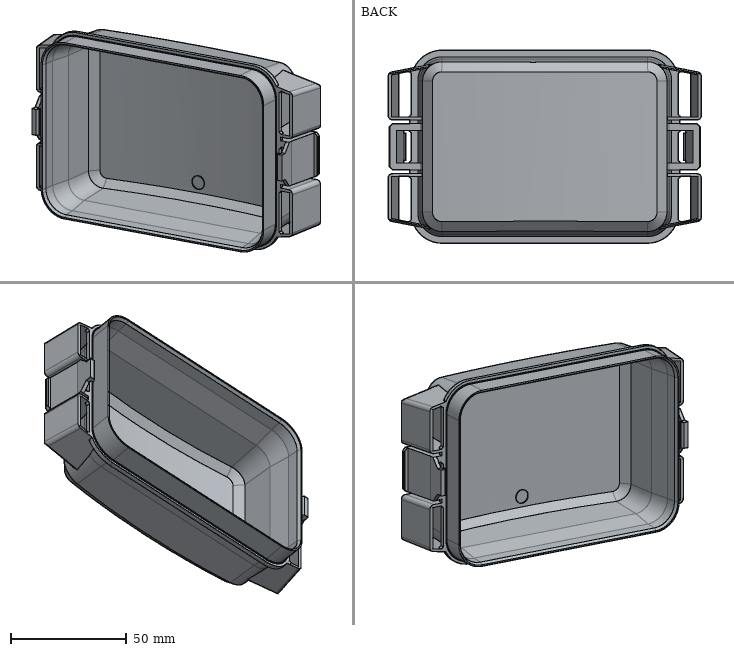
import cadquery as cq
import math


TOTAL_LENGTH = 135.69
TOTAL_DEPTH = 39.87
TOTAL_WIDTH = 83.7

FLANGE_RADIUS = 13.5
CORNER_X = 44.4
CORNER_Z = TOTAL_WIDTH / 2 - FLANGE_RADIUS
RIM_RADIUS = 11.8
LEDGE_RADIUS = 12.2
LEDGE_Y = 9.8
FLANGE_Y = 10.1
FLANGE_TOP_Y = 12.1
BASE_RADIUS = 10.9
DRAFT_BREAK_Y = 18.0
DRAFT_BREAK_RADIUS = 9.6
CROWN_RADIUS = 7.9
ROOF_ARC_RADIUS = 400.0
ROOF_BEVEL = 4.0

MOUTH_RADIUS = 11.1
LEAD_IN_Y = 1.5
LEAD_IN_RADIUS = 10.3
MOUTH_BREAK_Y = 6.6
MOUTH_BREAK_RADIUS = 9.9
CAVITY_BREAK_Y = 16.6
CAVITY_BREAK_RADIUS = 8.0
CAVITY_CROWN_RADIUS = 6.4
ROOF_THICKNESS = 1.5
CAVITY_BEVEL = 3.3
GATE_MARK_RADIUS = 3.05
GATE_MARK_Z = -26.9
GATE_MARK_DEPTH = 0.4

FRAME_Y = FLANGE_Y
FRAME_TOP_Y = 28.5
FRAME_FOOT_X = 64.7
FRAME_TOP_X = TOTAL_LENGTH / 2
FRAME_ROOT_X = 47.0
SLOT_CHAMFER = 1.0
ROOT_FILLET = 0.6

SIDE_WALL = 1.5
CROSS_WALL = 1.3
HANDLE_INNER_Z = 11.6
HANDLE_OUTER_Z = 32.7
HANDLE_SLOPE = 0.195
HANDLE_ROUND = 2.0
HANDLE_BACK_CHAMFER = 0.7

LATCH_HALF_WIDTH = 10.0
TONGUE_X = 63.1
LATCH_THICKNESS = 1.8
LIP_X = 67.4
LIP_Y = 26.8
LIP_CHAMFER = 1.5
LIP_EDGE_CHAMFER = 0.4
TONGUE_HALF_WIDTH = 5.9
TONGUE_SHOULDER_Y = 6.5
TONGUE_TIP_Y = 3.7
HOOK_REACH = 1.2
HOOK_TIP_Y = 4.9
HOOK_BARB_Y = 5.7
HOOK_NECK_Y = 5.3
RIB_INNER_Z = 7.0
BRIDGE_X = 58.5
BRIDGE_OUTER_Z = HANDLE_INNER_Z + CROSS_WALL

SELECT_MARGIN = 0.1

FRAME_LEAN = (FRAME_TOP_X - FRAME_FOOT_X) / (FRAME_TOP_Y - FRAME_Y)
LATCH_FOOT_X = TONGUE_X - FRAME_LEAN * (FLANGE_TOP_Y - FRAME_Y)
SLOT_ROOT_X = CORNER_X + FLANGE_RADIUS


def rounded_outline(y, radius):
    """Rounded rectangle at depth y, its corners centred on (CORNER_X, CORNER_Z)."""
    outline = cq.Workplane("XZ", origin=(0, y, 0)).rect(2 * (CORNER_X + radius), 2 * (CORNER_Z + radius))
    wire = outline.val()
    return wire.fillet2D(radius, wire.Vertices())


def stack(*sections):
    """Solid running straight from one (y, corner radius) section to the next."""
    wires = [rounded_outline(y, radius) for y, radius in sections]
    return cq.Workplane(obj=cq.Solid.makeLoft(wires, True))


def under_roof(crown_y):
    """Everything on the open side of a roof arched along X, its crown at crown_y."""
    half_length = CORNER_X + FLANGE_RADIUS
    end_y = crown_y - ROOF_ARC_RADIUS + math.sqrt(ROOF_ARC_RADIUS**2 - half_length**2)
    return (
        cq.Workplane("XY")
        .moveTo(-half_length, 0)
        .lineTo(-half_length, end_y)
        .threePointArc((0, crown_y), (half_length, end_y))
        .lineTo(half_length, 0)
        .close()
        .extrude(TOTAL_WIDTH / 2, both=True)
    )


def make_tub():
    """Drafted outer body with a bevelled roof, the flange and the rim below it."""
    body = stack(
        (FLANGE_Y, BASE_RADIUS), (DRAFT_BREAK_Y, DRAFT_BREAK_RADIUS), (TOTAL_DEPTH, CROWN_RADIUS)
    )
    body = body.intersect(under_roof(TOTAL_DEPTH)).faces(">Y").chamfer(ROOF_BEVEL)
    flange = stack((FLANGE_Y, FLANGE_RADIUS), (FLANGE_TOP_Y, FLANGE_RADIUS))
    ledge = stack((LEDGE_Y, LEDGE_RADIUS), (FLANGE_Y, LEDGE_RADIUS))
    rim = stack((0, RIM_RADIUS), (FLANGE_Y, RIM_RADIUS))
    return body.union(flange).union(ledge).union(rim)


def make_cavity():
    """Inside of the tub, with a shallow round gate mark sunk into the roof."""
    inner_crown_y = TOTAL_DEPTH - ROOF_THICKNESS
    cavity = stack(
        (0, MOUTH_RADIUS),
        (LEAD_IN_Y, LEAD_IN_RADIUS),
        (MOUTH_BREAK_Y, MOUTH_BREAK_RADIUS),
        (CAVITY_BREAK_Y, CAVITY_BREAK_RADIUS),
        (TOTAL_DEPTH, CAVITY_CROWN_RADIUS),
    )
    cavity = cavity.intersect(under_roof(inner_crown_y)).faces(">Y").chamfer(CAVITY_BEVEL)
    gate_mark = (
        cq.Workplane("XZ", origin=(0, inner_crown_y + GATE_MARK_DEPTH, GATE_MARK_Z))
        .circle(GATE_MARK_RADIUS)
        .extrude(CAVITY_BEVEL)
    )
    return cavity.union(gate_mark)


def box_between(x_range, y_range, z_range):
    """Axis-aligned box between the given limits."""
    sizes = [high - low for low, high in (x_range, y_range, z_range)]
    return cq.Workplane("XY").box(*sizes, centered=False).translate((x_range[0], y_range[0], z_range[0]))


def leaning_prism(foot_x, z_half):
    """Frame volume from the tub out to a leaning face whose foot is at foot_x."""
    top_x = foot_x + FRAME_LEAN * (FRAME_TOP_Y - FRAME_Y)
    profile = [
        (FRAME_ROOT_X, FRAME_Y), (foot_x, FRAME_Y), (top_x, FRAME_TOP_Y), (FRAME_ROOT_X, FRAME_TOP_Y)
    ]
    return cq.Workplane("XY").polyline(profile).close().extrude(z_half, both=True)


def spare_flange_web(opening):
    """Keep an opening clear of the flange and chamfer its corners beside it."""
    web = box_between(
        (FRAME_ROOT_X, SLOT_ROOT_X), (FRAME_Y, FLANGE_TOP_Y), (-TOTAL_WIDTH / 2, TOTAL_WIDTH / 2)
    )
    beside_web = cq.selectors.BoxSelector(
        (SLOT_ROOT_X - SELECT_MARGIN, FRAME_Y, -TOTAL_WIDTH / 2),
        (SLOT_ROOT_X + SELECT_MARGIN, FLANGE_TOP_Y, TOTAL_WIDTH / 2),
    )
    return opening.cut(web).edges("|Y").edges(beside_web).chamfer(SLOT_CHAMFER)


def handle_section(inner_z, outer_z):
    """Bar across the frame, between inner_z and a side sloping up towards the tub."""
    root_z = outer_z + HANDLE_SLOPE * (FRAME_FOOT_X - FRAME_ROOT_X)
    tip_z = outer_z - HANDLE_SLOPE * (FRAME_TOP_X - FRAME_FOOT_X)
    profile = [
        (FRAME_ROOT_X, inner_z), (FRAME_TOP_X, inner_z), (FRAME_TOP_X, tip_z), (FRAME_ROOT_X, root_z)
    ]
    return cq.Workplane("XZ").polyline(profile).close().extrude(-TOTAL_DEPTH)


def make_handle():
    """Strap loop open along Y: a leaning outer wall and two walls back to the tub."""
    outer = leaning_prism(FRAME_FOOT_X, TOTAL_WIDTH / 2).intersect(
        handle_section(HANDLE_INNER_Z, HANDLE_OUTER_Z)
    )
    outer = outer.faces(">Y").edges(">Z").chamfer(HANDLE_BACK_CHAMFER)
    corner = cq.selectors.BoxSelector(
        (FRAME_FOOT_X, FRAME_Y, 0), (FRAME_TOP_X, FRAME_TOP_Y - HANDLE_BACK_CHAMFER, TOTAL_WIDTH / 2)
    )
    outer = outer.edges("not(#Y or |X or |Z)").edges(corner).fillet(HANDLE_ROUND)
    opening = leaning_prism(FRAME_FOOT_X - SIDE_WALL, TOTAL_WIDTH / 2).intersect(
        handle_section(HANDLE_INNER_Z + CROSS_WALL, HANDLE_OUTER_Z - CROSS_WALL)
    )
    return outer.cut(spare_flange_web(opening))


def make_latch():
    """Leaning plate with a thumb lip on its back edge and a hooked tongue in front."""
    inner_foot_x = LATCH_FOOT_X - LATCH_THICKNESS
    plate = leaning_prism(LATCH_FOOT_X, LATCH_HALF_WIDTH).cut(
        leaning_prism(inner_foot_x, LATCH_HALF_WIDTH)
    )
    lip_root_x = inner_foot_x + FRAME_LEAN * (FRAME_TOP_Y - FRAME_Y)
    lip = box_between(
        (lip_root_x, LIP_X), (LIP_Y, FRAME_TOP_Y), (-LATCH_HALF_WIDTH, LATCH_HALF_WIDTH)
    )
    lip = lip.edges("|Y and >X").chamfer(LIP_CHAMFER)
    lip = lip.faces(">X").edges("|Z").chamfer(LIP_EDGE_CHAMFER)

    shoulder = [
        (LATCH_HALF_WIDTH, FLANGE_TOP_Y),
        (LATCH_HALF_WIDTH, FRAME_Y),
        (TONGUE_HALF_WIDTH, TONGUE_SHOULDER_Y),
        (TONGUE_HALF_WIDTH, TONGUE_TIP_Y),
    ]
    outline = [(-z, y) for z, y in shoulder] + shoulder[::-1]
    tongue = (
        cq.Workplane("ZY", origin=(TONGUE_X, 0, 0)).polyline(outline).close().extrude(LATCH_THICKNESS)
    )
    neck_x = TONGUE_X - LATCH_THICKNESS
    barb_x = neck_x - HOOK_REACH
    hook = (
        cq.Workplane("XY")
        .moveTo(neck_x, TONGUE_TIP_Y)
        .lineTo(neck_x - HOOK_REACH / 3, TONGUE_TIP_Y)
        .lineTo(barb_x, HOOK_TIP_Y)
        .lineTo(barb_x, HOOK_BARB_Y)
        .lineTo(neck_x, HOOK_NECK_Y)
        .close()
        .extrude(TONGUE_HALF_WIDTH, both=True)
    )
    return plate.union(lip).union(tongue).union(hook)


def make_latch_supports():
    """Ribs tying both edges of the latch to the tub, with a short bridge to the handles."""
    core = leaning_prism(LATCH_FOOT_X - LATCH_THICKNESS / 2, LATCH_HALF_WIDTH)
    window = leaning_prism(TOTAL_LENGTH, RIB_INNER_Z)
    supports = core.cut(spare_flange_web(window))
    for side in (-1, 1):
        z_range = sorted((side * RIB_INNER_Z, side * BRIDGE_OUTER_Z))
        supports = supports.union(box_between((FRAME_ROOT_X, BRIDGE_X), (FRAME_Y, FLANGE_TOP_Y), z_range))
    return supports


def make_end_frame():
    """Everything attached to the +X end of the tub."""
    handle = make_handle()
    return make_latch().union(make_latch_supports()).union(handle).union(handle.mirror("XY"))


def round_frame_roots(part):
    """Fillet the back edges of the ribs and outer handle walls where they meet the tub."""
    tub_reach = CORNER_X + DRAFT_BREAK_RADIUS
    half_width = TOTAL_WIDTH / 2
    z_ranges = [
        (-HANDLE_INNER_Z, HANDLE_INNER_Z), (HANDLE_OUTER_Z, half_width), (-half_width, -HANDLE_OUTER_Z)
    ]
    for side in (-1, 1):
        for low_z, high_z in z_ranges:
            at_root = cq.selectors.BoxSelector(
                (side * CORNER_X, FRAME_TOP_Y - SELECT_MARGIN, low_z),
                (side * tub_reach, FRAME_TOP_Y + SELECT_MARGIN, high_z),
            )
            part = part.edges(at_root).fillet(ROOT_FILLET)
    return part


frame = make_end_frame()
tub = make_tub().union(frame).union(frame.mirror("YZ"))
result = round_frame_roots(tub).cut(make_cavity())